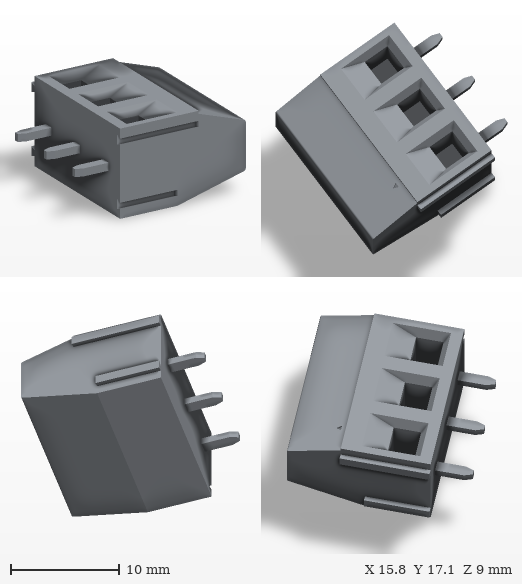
import cadquery as cq


pole_count = 3
pitch = 5.08
body_width = pole_count * pitch
body_depth = 13.6
body_height = 9.0
raised_depth = 8.5
step_height = 0.3
rear_bottom = 2.0
rear_top = 7.0
rear_edge_radius = 0.2
underside_depth = 6.2

pin_length = 3.5
pin_width = 1.0
pin_thickness = 0.8
pin_tip_width = 0.45
pin_tip_length = 0.77

mouth_width = 3.7
mouth_front = 1.12
mouth_length = 5.5
well_side = 2.6
well_front = 1.7
funnel_depth = 0.9
well_floor = 4.0

dovetail_depth = 0.57
dovetail_outer = 1.0
dovetail_root = 0.6
upper_dovetail_z = 7.7
lower_dovetail_z = 1.3

mark_size = 0.5
mark_front = 8.95
mark_depth = 0.15

left_side = -body_width / 2
right_side = body_width / 2
pole_positions = [(i - (pole_count - 1) / 2) * pitch for i in range(pole_count)]
dovetails = [(upper_dovetail_z, raised_depth), (lower_dovetail_z, underside_depth)]


def make_body():
    profile = [
        (0, 0),
        (underside_depth, 0),
        (body_depth, rear_bottom),
        (body_depth, rear_top),
        (raised_depth, body_height - step_height),
        (raised_depth, body_height),
        (0, body_height),
    ]
    block = cq.Workplane("YZ").workplane(offset=left_side).polyline(profile).close().extrude(body_width)
    return block.faces(">Y").edges("|X").fillet(rear_edge_radius)


def make_dovetail(wide_face_x, centre_z, length):
    """Dovetail bar along Y with its wide face at wide_face_x and its narrower face to the right of it."""
    profile = [
        (wide_face_x, centre_z - dovetail_outer / 2),
        (wide_face_x, centre_z + dovetail_outer / 2),
        (wide_face_x + dovetail_depth, centre_z + dovetail_root / 2),
        (wide_face_x + dovetail_depth, centre_z - dovetail_root / 2),
    ]
    return cq.Workplane("XZ").polyline(profile).close().extrude(-length)


def make_pin(x):
    shoulder_y = pin_tip_length - pin_length
    profile = [
        (x - pin_width / 2, 0),
        (x - pin_width / 2, shoulder_y),
        (x - pin_tip_width / 2, -pin_length),
        (x + pin_tip_width / 2, -pin_length),
        (x + pin_width / 2, shoulder_y),
        (x + pin_width / 2, 0),
    ]
    bottom = (body_height - pin_thickness) / 2
    return cq.Workplane("XY").workplane(offset=bottom).polyline(profile).close().extrude(pin_thickness)


def make_wire_well(x):
    """Square well under a funnel whose rear wall slopes more gently than the others."""
    mouth_centre = mouth_front + mouth_length / 2
    well_centre = well_front + well_side / 2
    funnel = (
        cq.Workplane("XY", origin=(x, mouth_centre, body_height))
        .rect(mouth_width, mouth_length)
        .workplane(offset=-funnel_depth)
        .center(0, well_centre - mouth_centre)
        .rect(well_side, well_side)
        .loft(ruled=True)
    )
    well_depth = body_height - funnel_depth - well_floor
    well = (
        cq.Workplane("XY", origin=(x, well_centre, well_floor))
        .rect(well_side, well_side)
        .extrude(well_depth)
    )
    return funnel.union(well)


def make_pole_mark(x):
    """Triangle sunk square into the sloped top beside the first pole."""
    slope_rise = body_height - step_height - rear_top
    slope_run = body_depth - raised_depth
    mark_z = body_height - step_height - slope_rise * (mark_front - raised_depth) / slope_run
    slope_plane = cq.Plane(
        origin=(x, mark_front, mark_z), xDir=(1, 0, 0), normal=(0, slope_rise, slope_run)
    )
    profile = [(-mark_size / 2, 0), (mark_size / 2, 0), (0, mark_size)]
    return cq.Workplane(slope_plane).polyline(profile).close().extrude(-mark_depth)


result = make_body()
for dovetail_z, dovetail_length in dovetails:
    result = result.union(make_dovetail(left_side - dovetail_depth, dovetail_z, dovetail_length))
    result = result.cut(make_dovetail(right_side - dovetail_depth, dovetail_z, dovetail_length))
for pole_x in pole_positions:
    result = result.cut(make_wire_well(pole_x))
    result = result.union(make_pin(pole_x))
result = result.cut(make_pole_mark(pole_positions[0]))